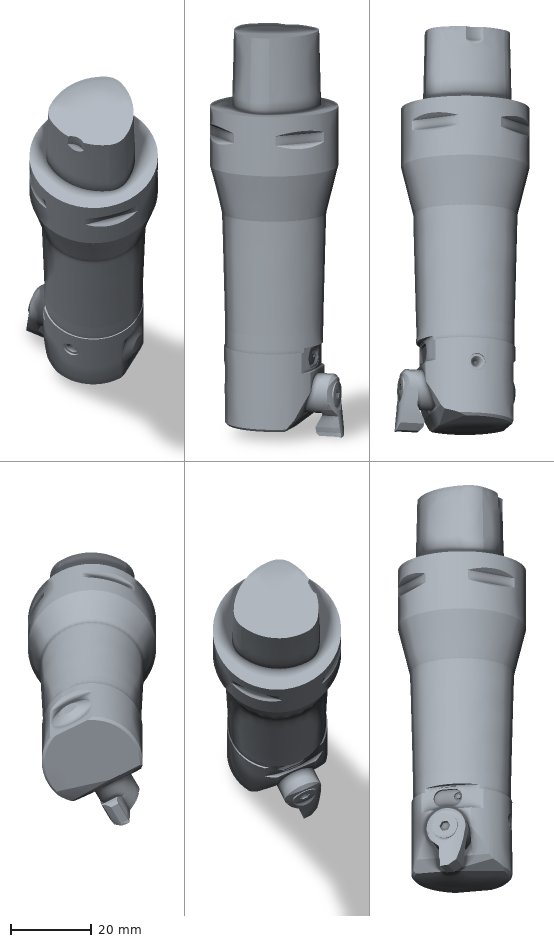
import cadquery as cq
import math


shank_length = 19.0
shank_straight = 2.5
shank_taper = 1 / 40
lobe_centre = 6.0
lobe_reach = 11.75
side_reach = 10.35
lobe_angles = (90, 210, 330)
lobe_to_side = 60

notch_radius = 3.4
notch_floor_y = -9.0
notch_depth = 3.3

flange_radius = 16.0
flange_bottom = -15.0
body_top = -27.0
body_top_radius = 13.0
ring_top = -56.15
ring_radius = 24.47 / 2
ring_bottom = -60.75

slot_z = -6.05
slot_floor_height = 2.4
slot_floor_distance = 14.5
slot_flare = 0.7
slot_angles = (45, 135, 225, 315)

head_radius = 12.55
head_offset = -0.1
head_bottom = -80.5
head_chamfer = 0.65
seat_x = -11.45
back_limit_x = 12.3
back_flat_x = 10.9
back_flat_top = -65.3
slant_top = -71.0
slant_break_x = -8.5
slant_break_z = -77.6
slant_end_x = -6.3
relief_y = (-5.0, 2.9)
tilted_flat_point = (-7.3, -10.2, -78.8)
tilted_flat_normal = (-0.38, -0.10, -0.92)

window_top = -59.7
window_bottom = -66.0
window_x = -10.9
window_y = 0.3
window_bulge_radius = 29.0

recess_y = 0.85
recess_z = -62.75
recess_length = 7.3
recess_height = 4.5
recess_depth = 1.0
recess_rim_width = 0.5
recess_rim_depth = 0.25
dial_y = -1.7
dial_z = -62.4
dial_diameter = 2.2
dial_pin_diameter = 1.0
dial_depth = 0.5

lock_z = -66.85
lock_diameter = 4.25
lock_socket_diameter = 3.0
lock_tip_diameter = 1.0
lock_depth = 0.5
lock_socket_depth = 1.5

cutter_z = -72.1
cutter_radius = 5.0
cutter_back_x = -13.3
cutter_shoulder_x = -15.6
arm_neck_z = -77.1
foot_back_x = -11.3
foot_top_z = -80.5
foot_bottom_z = -82.8
foot_bevel = 0.8
foot_flank_y = -3.1
foot_flank_z = -81.3
arm_flank_start = (-4.97, -72.66)
arm_flank_middle = (-4.25, -77.3)
arm_shoulder = [(4.7, -73.8), (3.6, -75.6), (1.4, -77.5), (1.2, foot_top_z)]
foot_land_y = -1.2
cutter_crown_radius = 10.0
cutter_crown_x = -16.7
cutter_crown_z = -70.0
tip_x = -18.0
tip_y = 0.9
tip_z = -83.0
tip_relief_z = -81.8
countersink_x = -16.5
screw_face_x = -16.7
screw_head_radius = 3.2
screw_head_back_x = -14.8
screw_shank_radius = 2.0
screw_end_x = -6.0
screw_socket_width = 2.4
screw_socket_depth = 1.2

back_boss_radius = 5.65
back_boss_tip_radius = 2.4

margin = 10.0


def polar(radius, angle):
    return (radius * math.cos(math.radians(angle)), radius * math.sin(math.radians(angle)))


def turned(points, x=0, y=0):
    """Solid of revolution about a vertical axis from (radius, z) points."""
    profile = cq.Workplane("XZ").polyline(points).close()
    return profile.revolve(360, (0, 0, 0), (0, 1, 0)).translate((x, y, 0))


def x_cone(x_start, radius_start, x_end, radius_end, z, y=0):
    """Cone frustum or cylinder along X."""
    length = x_end - x_start
    direction = cq.Vector(math.copysign(1, length), 0, 0)
    if radius_start == radius_end:
        solid = cq.Solid.makeCylinder(radius_start, abs(length), cq.Vector(x_start, y, z), direction)
    else:
        solid = cq.Solid.makeCone(radius_start, radius_end, abs(length), cq.Vector(x_start, y, z), direction)
    return cq.Workplane(obj=solid)


def block(x_range, y_range, z_range):
    sizes = [high - low for low, high in (x_range, y_range, z_range)]
    return cq.Workplane().box(*sizes, centered=False).translate((x_range[0], y_range[0], z_range[0]))


def shank_outline(z, inset):
    """Three small lobe arcs joined tangentially by three large side arcs."""
    k = side_reach - lobe_reach + lobe_centre
    side_centre = (lobe_centre**2 - k**2) / (2 * k - lobe_centre)
    tangent_angle = math.degrees(math.atan2(
        side_centre * math.sin(math.radians(lobe_to_side)),
        lobe_centre + side_centre * math.cos(math.radians(lobe_to_side)),
    ))
    lobe_radius = lobe_reach - lobe_centre - inset

    def joint(lobe_angle, side):
        centre_x, centre_y = polar(lobe_centre, lobe_angle)
        x, y = polar(lobe_radius, lobe_angle + side * tangent_angle)
        return (centre_x + x, centre_y + y)

    outline = cq.Workplane("XY", origin=(0, 0, z)).moveTo(*joint(lobe_angles[0], -1))
    for angle in lobe_angles:
        outline = outline.threePointArc(polar(lobe_reach - inset, angle), joint(angle, 1))
        side_middle = polar(side_reach - inset, angle + lobe_to_side)
        outline = outline.threePointArc(side_middle, joint(angle + 2 * lobe_to_side, -1))
    return outline.close()


def make_shank():
    taper_length = shank_length - shank_straight
    base = shank_outline(0, 0).extrude(shank_straight)
    lower_wire = shank_outline(shank_straight, 0).wires().val()
    upper_wire = shank_outline(shank_length, shank_taper * taper_length).wires().val()
    cone = cq.Workplane(obj=cq.Solid.makeLoft([lower_wire, upper_wire], True))
    notch_z = shank_length - notch_depth
    notch = turned(
        [(0, notch_z - notch_radius), (notch_radius, notch_z), (notch_radius, shank_length + margin),
         (0, shank_length + margin)],
        y=notch_floor_y - notch_radius,
    )
    return base.union(cone).cut(notch)


def make_round_body():
    return turned([
        (0, 0), (flange_radius, 0), (flange_radius, flange_bottom), (body_top_radius, body_top),
        (ring_radius, ring_top), (ring_radius, ring_bottom), (0, ring_bottom),
    ])


def make_gripper_slots():
    half = slot_floor_height / 2
    outer_distance = flange_radius + margin
    outer_half = half + slot_flare * (outer_distance - slot_floor_distance)
    profile = [(slot_floor_distance, half), (outer_distance, outer_half),
               (outer_distance, -outer_half), (slot_floor_distance, -half)]
    slot = cq.Workplane("XZ").polyline(profile).close().extrude(flange_radius, both=True)
    slot = slot.translate((0, 0, slot_z))
    slots = cq.Workplane()
    for angle in slot_angles:
        slots = slots.add(slot.rotate((0, 0, 0), (0, 0, 1), angle))
    return slots


def make_head():
    head_height = ring_bottom - head_bottom
    blank = cq.Workplane("XY", origin=(head_offset, 0, head_bottom)).circle(head_radius).extrude(head_height)
    side = [
        (seat_x, ring_bottom), (seat_x, slant_top), (slant_break_x, slant_break_z),
        (slant_end_x, head_bottom), (back_flat_x, head_bottom), (back_flat_x, back_flat_top),
        (back_limit_x, back_flat_top + back_limit_x - back_flat_x), (back_limit_x, ring_bottom),
    ]
    side_shape = cq.Workplane("XZ").polyline(side).close().extrude(2 * head_radius, both=True)
    boss = x_cone(back_flat_x, back_boss_radius, back_limit_x, back_boss_tip_radius, cutter_z)
    chamfered = blank.faces("<Z").chamfer(head_chamfer)
    relief = block((-flange_radius, slant_break_x), relief_y, (head_bottom, cutter_z))
    flat_plane = cq.Plane(origin=tilted_flat_point, normal=tilted_flat_normal)
    tilted_flat = cq.Workplane(flat_plane).rect(2 * flange_radius, 2 * flange_radius).extrude(margin)
    return chamfered.intersect(side_shape.union(boss)).cut(relief).cut(tilted_flat)


def make_window():
    """Everything outside the bulging wall, between the window's top and bottom."""
    height = window_top - window_bottom
    outside = block((-flange_radius, 0), (-flange_radius, flange_radius), (window_bottom, window_top))
    wall_centre_x = window_x + window_bulge_radius
    bulge = cq.Workplane("XY", origin=(wall_centre_x, window_y, window_bottom))
    return outside.cut(bulge.circle(window_bulge_radius).extrude(height))


def make_recess():
    floor_x = window_x + recess_depth
    plane = cq.Workplane("YZ", origin=(floor_x, recess_y, recess_z))
    pocket = plane.slot2D(recess_length, recess_height).extrude(-margin)
    mouth_x = window_x + recess_rim_depth
    mouth = cq.Workplane("YZ", origin=(mouth_x, recess_y, recess_z))
    grown = 2 * recess_rim_width
    pocket = pocket.union(mouth.slot2D(recess_length + grown, recess_height + grown).extrude(-margin))
    dial_radius = dial_diameter / 2
    pin_radius = dial_pin_diameter / 2
    dial_floor_x = floor_x + dial_depth
    dial = x_cone(dial_floor_x, dial_radius, floor_x - margin, dial_radius, dial_z, dial_y)
    pin = x_cone(floor_x, pin_radius, dial_floor_x, pin_radius, dial_z, dial_y)
    return pocket.union(dial).cut(pin)


def make_lock_hole():
    """Counterbore with a conical socket, drilled toward +Y."""
    floor_y = -head_radius + lock_depth
    bore = cq.Workplane("XZ", origin=(0, floor_y, lock_z)).circle(lock_diameter / 2).extrude(margin)
    socket = cq.Workplane(obj=cq.Solid.makeCone(
        lock_socket_diameter / 2, lock_tip_diameter / 2, lock_socket_depth,
        cq.Vector(0, floor_y, lock_z), cq.Vector(0, 1, 0),
    ))
    return bore.union(socket)


def make_housing(screw_space):
    boss = x_cone(cutter_back_x, cutter_radius, 0, cutter_radius, cutter_z)
    housing = make_shank().union(make_round_body()).union(make_head())
    for slot in make_gripper_slots().vals():
        housing = housing.cut(cq.Workplane(obj=slot))
    housing = housing.cut(make_window()).cut(make_recess()).cut(make_lock_hole())
    return housing.union(boss).cut(screw_space)


def make_screw_blank():
    head = x_cone(screw_head_back_x, screw_head_radius, screw_face_x, screw_head_radius, cutter_z)
    shank = x_cone(screw_head_back_x, screw_shank_radius, screw_end_x, screw_shank_radius, cutter_z)
    return head.union(shank)


def make_screw():
    corner_diameter = screw_socket_width / math.cos(math.radians(30))
    socket = cq.Workplane("YZ", origin=(screw_face_x, 0, cutter_z)).polygon(6, corner_diameter)
    return make_screw_blank().cut(socket.extrude(screw_socket_depth))


def make_crown():
    """Round bar whose -X crown line runs from behind the screw to the cutting tip."""
    drop = cutter_crown_z - tip_z
    lean = (cutter_crown_x - tip_x) / drop
    axis_x = cutter_crown_x + cutter_crown_radius * math.hypot(1, lean)
    start = cq.Vector(axis_x + margin * lean, 0, cutter_crown_z + margin)
    direction = cq.Vector(-lean, 0, -1)
    length = drop + 3 * margin
    return cq.Workplane(obj=cq.Solid.makeCylinder(cutter_crown_radius, length, start, direction))


def make_cutter(screw_space):
    front_x = tip_x - margin
    cone_front_x = cutter_shoulder_x - cutter_radius
    disc = x_cone(cutter_shoulder_x, cutter_radius, cutter_back_x, cutter_radius, cutter_z)
    disc = disc.union(x_cone(cutter_shoulder_x, cutter_radius, cone_front_x, 0, cutter_z))

    arm = cq.Workplane("YZ", origin=(front_x, 0, 0)).moveTo(0, cutter_z).lineTo(*arm_flank_start)
    arm = arm.threePointArc(arm_flank_middle, (foot_flank_y, foot_flank_z))
    arm = arm.lineTo(foot_land_y, foot_bottom_z).lineTo(tip_y, tip_z).lineTo(tip_y, tip_relief_z)
    for point in reversed(arm_shoulder):
        arm = arm.lineTo(*point)
    arm = arm.close()
    arm = arm.extrude(foot_back_x - front_x)

    arm_side = [
        (front_x, cutter_z + cutter_radius), (cutter_back_x, cutter_z + cutter_radius),
        (cutter_back_x, arm_neck_z), (foot_back_x, foot_top_z), (foot_back_x, foot_bottom_z + foot_bevel),
        (foot_back_x - foot_bevel, foot_bottom_z), (tip_x + foot_bevel, foot_bottom_z),
        (tip_x, tip_z), (front_x, tip_z),
    ]
    side_shape = cq.Workplane("XZ").polyline(arm_side).close().extrude(cutter_radius, both=True)
    countersink_front = countersink_x - screw_head_radius
    countersink = x_cone(
        countersink_x, screw_head_radius, countersink_front, 2 * screw_head_radius, cutter_z
    )
    blank = disc.union(arm).intersect(side_shape)
    return blank.intersect(make_crown()).cut(countersink).cut(screw_space)


screw_space = make_screw_blank()
housing = make_housing(screw_space)
cutter = make_cutter(screw_space)
screw = make_screw()

result = cq.Compound.makeCompound([housing.val(), cutter.val(), screw.val()])